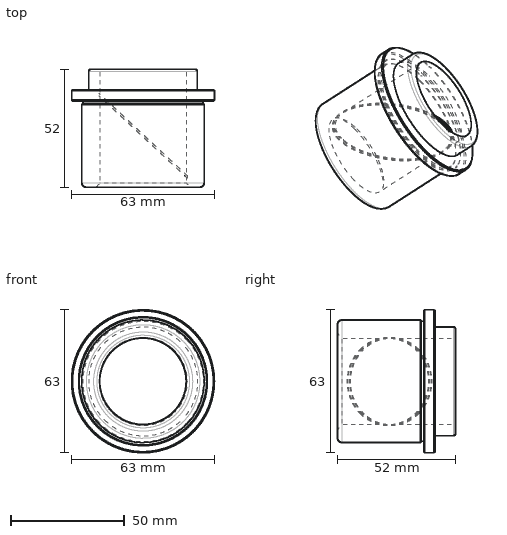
import cadquery as cq
import math


total_length = 52.0
spigot_length = 9.0
flange_thickness = 5.0

bore_radius = 19.0
spigot_radius = 24.0
body_radius = 27.0
flange_radius = 31.5

spigot_round = 1.0
body_round = 2.0
flange_chamfer = 0.5

lead_in_angle = 45.0
lead_in_depth = 2.0
lead_in_round = 2.0

neck_radius = 26.5
neck_length = 1.0
neck_chamfer_length = 0.55
neck_fillet = 0.5
recess_radius = 28.4
recess_depth = 0.4

groove_width = 0.8
groove_depth = 0.4
groove_center_y = -3.2
groove_tilt = 43.0

body_end = -total_length / 2
spigot_end = total_length / 2
flange_back = spigot_end - spigot_length
flange_front = flange_back - flange_thickness
neck_end = flange_front - neck_length
recess_floor = flange_front + recess_depth


def arc_inset(radius):
    """Distance from each side of a square corner to the middle of its rounding arc."""
    return radius * (1 - math.sqrt(0.5))


def make_blank():
    """Solid turned blank without the bore."""
    body_round_mid = (
        body_radius - arc_inset(body_round),
        body_end + arc_inset(body_round),
    )
    spigot_round_mid = (
        spigot_radius - arc_inset(spigot_round),
        spigot_end - arc_inset(spigot_round),
    )
    neck_fillet_mid = (
        neck_radius + arc_inset(neck_fillet),
        recess_floor - arc_inset(neck_fillet),
    )
    profile = (
        cq.Workplane("XY")
        .moveTo(0, body_end)
        .lineTo(body_radius - body_round, body_end)
        .threePointArc(body_round_mid, (body_radius, body_end + body_round))
        .lineTo(body_radius, neck_end - neck_chamfer_length)
        .lineTo(neck_radius, neck_end)
        .lineTo(neck_radius, recess_floor - neck_fillet)
        .threePointArc(neck_fillet_mid, (neck_radius + neck_fillet, recess_floor))
        .lineTo(recess_radius - recess_depth, recess_floor)
        .lineTo(recess_radius, flange_front)
        .lineTo(flange_radius - flange_chamfer, flange_front)
        .lineTo(flange_radius, flange_front + flange_chamfer)
        .lineTo(flange_radius, flange_back - flange_chamfer)
        .lineTo(flange_radius - flange_chamfer, flange_back)
        .lineTo(spigot_radius, flange_back)
        .lineTo(spigot_radius, spigot_end - spigot_round)
        .threePointArc(spigot_round_mid, (spigot_radius - spigot_round, spigot_end))
        .lineTo(0, spigot_end)
        .close()
    )
    return profile.revolve(360, (0, 0, 0), (0, 1, 0))


def make_bore():
    """Bore with its rounded conical lead-in at the body end."""
    cone_angle = math.radians(lead_in_angle)
    cone_mouth_radius = bore_radius + lead_in_depth * math.tan(cone_angle)
    mouth_radius = cone_mouth_radius + lead_in_round * math.tan(cone_angle / 2)
    round_center_y = body_end + lead_in_round

    def round_point(angle):
        """Point on the lead-in round, turned by an angle away from the end face."""
        return (
            mouth_radius - lead_in_round * math.sin(angle),
            round_center_y - lead_in_round * math.cos(angle),
        )

    profile = (
        cq.Workplane("XY")
        .moveTo(0, body_end)
        .lineTo(mouth_radius, body_end)
        .threePointArc(round_point(cone_angle / 2), round_point(cone_angle))
        .lineTo(bore_radius, body_end + lead_in_depth)
        .lineTo(bore_radius, spigot_end)
        .lineTo(0, spigot_end)
        .close()
    )
    return profile.revolve(360, (0, 0, 0), (0, 1, 0))


def make_oil_groove():
    """Tilted slice of a cylinder slightly larger than the bore."""
    slab_size = 2 * total_length
    slab = (
        cq.Workplane("XY")
        .box(slab_size, groove_width, slab_size)
        .rotate((0, 0, 0), (0, 0, 1), -groove_tilt)
        .translate((0, groove_center_y, 0))
    )
    cylinder = (
        cq.Workplane("XZ", origin=(0, spigot_end, 0))
        .circle(bore_radius + groove_depth)
        .extrude(total_length)
    )
    return cylinder.intersect(slab)


result = make_blank().cut(make_bore()).cut(make_oil_groove())